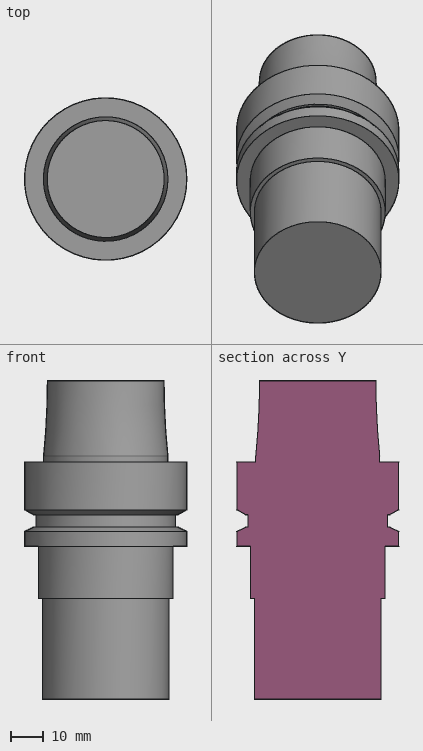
import cadquery as cq
import math

shank_dia = 39.0
collar_dia = 41.6
flange_dia = 50.0
groove_dia = 43.0
bevel_inner_dia = 44.4
neck_base_dia = 38.3
neck_tip_dia = 36.0

shank_top = 31.0
collar_top = 47.0
lower_rim_top = 51.6
groove_bottom = 53.0
groove_top = 56.7
upper_rim_bottom = 58.3
flange_top = 73.0
flare_start = 74.9
total_height = 98.0

flare_height = total_height - flare_start
flare_depth = (neck_base_dia - neck_tip_dia) / 2
flare_radius = (flare_height**2 + flare_depth**2) / (2 * flare_depth)
half_angle = math.asin(flare_height / flare_radius) / 2
flare_middle = (
    neck_tip_dia / 2 + flare_radius * (1 - math.cos(half_angle)),
    total_height - flare_radius * math.sin(half_angle),
)

profile = [
    (0, 0),
    (shank_dia / 2, 0),
    (shank_dia / 2, shank_top),
    (collar_dia / 2, shank_top),
    (collar_dia / 2, collar_top),
    (flange_dia / 2, collar_top),
    (flange_dia / 2, lower_rim_top),
    (bevel_inner_dia / 2, groove_bottom),
    (groove_dia / 2, groove_bottom),
    (groove_dia / 2, groove_top),
    (bevel_inner_dia / 2, groove_top),
    (flange_dia / 2, upper_rim_bottom),
    (flange_dia / 2, flange_top),
    (neck_base_dia / 2, flange_top),
    (neck_base_dia / 2, flare_start),
]

result = (
    cq.Workplane("XZ")
    .polyline(profile)
    .threePointArc(flare_middle, (neck_tip_dia / 2, total_height))
    .lineTo(0, total_height)
    .close()
    .revolve(360, (0, 0, 0), (0, 1, 0))
)